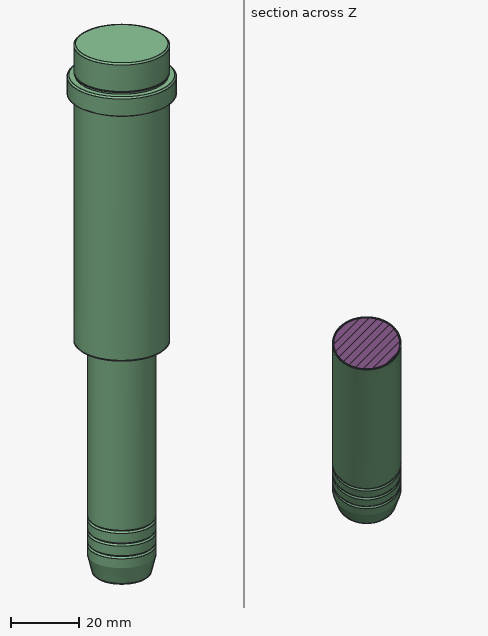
import cadquery as cq

total_height = 170.0
shoulder_z = 74.1
flange_bottom_z = 154.0
flange_height = 6.0
flange_top_z = flange_bottom_z + flange_height

flange_radius = 32.0 / 2
body_radius = 28.0 / 2
pin_radius = 20.0 / 2
nose_radius = 8.7

edge_chamfer = 0.5
relief_width = 1.0
relief_slope = 0.5
relief_depth = 0.3
groove_width = 1.0
groove_depth = 0.5
groove_count = 3
groove_pitch = 4.0
lowest_groove_z = 9.5

nose_height = 6.0
nose_chamfer = 0.5


def cylinder(radius, bottom, top):
    return cq.Workplane("XY").workplane(offset=bottom).circle(radius).extrude(top - bottom)


def revolve_section(points):
    return cq.Workplane("XZ").polyline(points).close().revolve(360, (0, 0, 0), (0, 1, 0))


def vee_groove(radius, middle_z):
    """Cutter for a symmetric vee groove cut into a cylinder of the given radius."""
    half_width = groove_width / 2
    return revolve_section([
        (radius + groove_depth, middle_z - half_width),
        (radius, middle_z - half_width),
        (radius - groove_depth, middle_z),
        (radius, middle_z + half_width),
        (radius + groove_depth, middle_z + half_width),
    ])


def relief(radius, wall_z, direction):
    """Cutter for a relief that starts at a flat wall and ends in a slope, going up (1) or down (-1)."""
    floor_end_z = wall_z + direction * (relief_width - relief_slope)
    slope_end_z = wall_z + direction * relief_width
    return revolve_section([
        (radius + relief_depth, wall_z),
        (radius - relief_depth, wall_z),
        (radius - relief_depth, floor_end_z),
        (radius, slope_end_z),
        (radius + relief_depth, slope_end_z),
    ])


pin = (
    cq.Workplane("XZ")
    .lineTo(nose_radius - nose_chamfer, 0)
    .lineTo(nose_radius, nose_chamfer)
    .lineTo(pin_radius, nose_height)
    .lineTo(pin_radius, shoulder_z)
    .lineTo(0, shoulder_z)
    .close()
    .revolve(360, (0, 0, 0), (0, 1, 0))
)
for index in range(groove_count):
    groove_z = lowest_groove_z + index * groove_pitch
    pin = pin.cut(vee_groove(pin_radius, groove_z))

pin_relief = cylinder(body_radius, shoulder_z - relief_width, shoulder_z).cut(
    cylinder(pin_radius - relief_depth, shoulder_z - relief_width, shoulder_z)
)
pin = pin.cut(pin_relief)

body = cylinder(body_radius, shoulder_z, total_height).faces("<Z or >Z").chamfer(edge_chamfer)
body = body.cut(relief(body_radius, flange_bottom_z, -1))
body = body.cut(relief(body_radius, flange_top_z, 1))

flange = cylinder(flange_radius, flange_bottom_z, flange_top_z).faces(">Z").chamfer(edge_chamfer)

result = pin.union(body).union(flange)